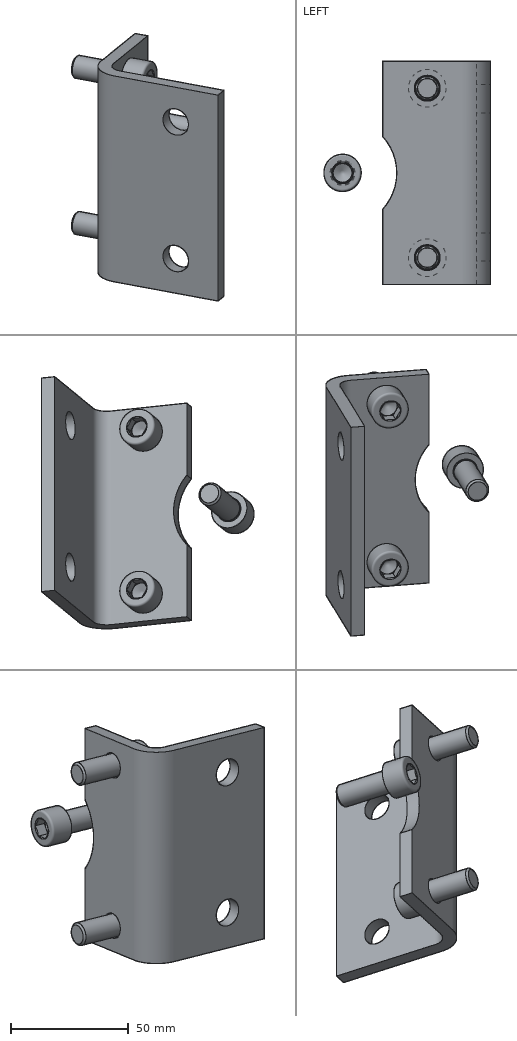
import cadquery as cq
import math


bracket_height = 95.0
plate = 6.0
front_leg = 61.0
side_leg = 46.0
bend_inner_radius = 6.0
bend_outer_radius = bend_inner_radius + plate

front_hole_diameter = 12.0
front_hole_x = 41.0
front_hole_spacing = 63.0

notch_radius = 23.0

shank_diameter = 10.0
shank_length = 25.0
tip_chamfer = 0.9
head_diameter = 16.0
head_height = 10.0
head_fillet = 0.95
neck_rise = 0.3
collar_length = 0.3
neck_length = 0.8

hex_across_flats = 8.0
hex_depth = 5.0
socket_cone_angle = 120.0
shank_radius = shank_diameter / 2
head_radius = head_diameter / 2
hex_inner_radius = hex_across_flats / 2
hex_corner_radius = hex_inner_radius / math.cos(math.pi / 6)
cone_slope = math.tan(math.radians(socket_cone_angle / 2))

mounted_screw_y = 27.0
mounted_screw_spacing = 72.0
clearance_diameter = 11.0
free_screw_y = 63.0
mounted_screw_heights = [-mounted_screw_spacing / 2, mounted_screw_spacing / 2]
front_hole_heights = [-front_hole_spacing / 2, front_hole_spacing / 2]


def make_bracket():
    """Bent angle plate with two holes in one leg and two holes and a notch in the other."""
    body = (
        cq.Workplane("XY")
        .workplane(offset=-bracket_height / 2)
        .polyline([
            (0, 0),
            (front_leg, 0),
            (front_leg, plate),
            (plate, plate),
            (plate, side_leg),
            (0, side_leg),
        ])
        .close()
        .extrude(bracket_height)
    )
    at_outer_corner = cq.selectors.NearestToPointSelector((0, 0, 0))
    at_inner_corner = cq.selectors.NearestToPointSelector((plate, plate, 0))
    body = body.edges("|Z").edges(at_outer_corner).fillet(bend_outer_radius)
    body = body.edges("|Z").edges(at_inner_corner).fillet(bend_inner_radius)

    front_holes = (
        cq.Workplane("XZ")
        .pushPoints([(front_hole_x, z) for z in front_hole_heights])
        .circle(front_hole_diameter / 2)
        .extrude(-plate)
    )
    screw_holes = (
        cq.Workplane("YZ")
        .pushPoints([(mounted_screw_y, z) for z in mounted_screw_heights])
        .circle(clearance_diameter / 2)
        .extrude(plate)
    )
    notch = cq.Workplane("YZ").center(free_screw_y, 0).circle(notch_radius).extrude(plate)
    return body.cut(front_holes).cut(screw_holes).cut(notch)


def make_hex_socket():
    """Cutter for the countersunk hexagon socket with its conical drilled bottom."""
    hexagon = (
        cq.Workplane("YZ")
        .workplane(offset=-head_height)
        .polygon(6, 2 * hex_corner_radius)
        .extrude(hex_depth)
    )
    floor_x = hex_depth - head_height
    drill_point = (
        cq.Workplane("XY")
        .polyline([
            (floor_x, 0),
            (floor_x, hex_inner_radius),
            (floor_x + hex_inner_radius / cone_slope, 0),
        ])
        .close()
        .revolve(360, (0, 0, 0), (1, 0, 0))
    )
    countersink = (
        cq.Workplane("XY")
        .polyline([
            (-head_height, 0),
            (-head_height, hex_corner_radius),
            (-head_height + hex_corner_radius / cone_slope, 0),
        ])
        .close()
        .revolve(360, (0, 0, 0), (1, 0, 0))
    )
    return hexagon.union(drill_point).union(countersink)


def make_screw():
    """Cap screw along X: head seat on X = 0, shank toward +X, socket open toward -X."""
    blank = (
        cq.Workplane("XY")
        .moveTo(-head_height, 0)
        .lineTo(-head_height, head_radius - head_fillet)
        .radiusArc((-head_height + head_fillet, head_radius), head_fillet)
        .lineTo(0, head_radius)
        .lineTo(0, shank_radius + neck_rise)
        .lineTo(collar_length, shank_radius + neck_rise)
        .lineTo(neck_length, shank_radius)
        .lineTo(shank_length - tip_chamfer, shank_radius)
        .lineTo(shank_length, shank_radius - tip_chamfer)
        .lineTo(shank_length, 0)
        .close()
        .revolve(360, (0, 0, 0), (1, 0, 0))
    )
    return blank.cut(make_hex_socket())


bracket = make_bracket()

screws = [make_screw().translate((0, free_screw_y, 0))]

for height in mounted_screw_heights:
    turned_screw = make_screw().rotate((0, 0, 0), (0, 0, 1), 180)
    screws.append(turned_screw.translate((plate, mounted_screw_y, height)))

result = cq.Compound.makeCompound([bracket.val(), *[screw.val() for screw in screws]])